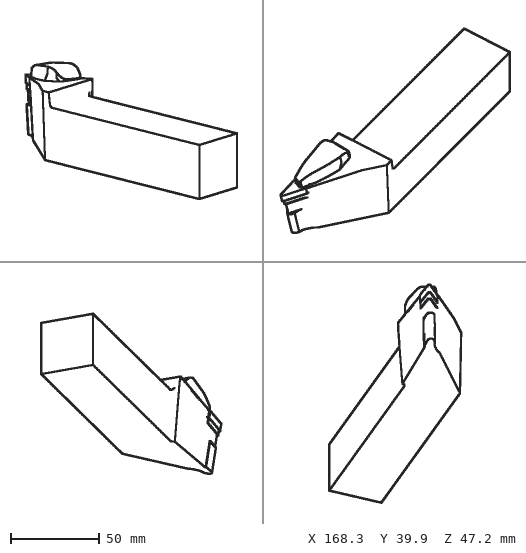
import cadquery as cq
import math

TOTAL_LENGTH = 168.3
SHANK_SIZE = 32.0
HEAD_HEIGHT = 40.5
HEAD_WIDTH = 50.5
STEP_FOOT_X = 54.2
STEP_RUN = 1.2
STEP_FILLET = 2.0
HEAD_START_X = -8.5

TIP_CORNER = (-1.7, 40.0, 32.2)
RISE_HEADING = -28.9
SEAT_TILT = 9.8
FRONT_ANGLE = -9.5
POINT_ANGLE = 35.0
BACK_ANGLE = FRONT_ANGLE + POINT_ANGLE

INSERT_SIDE = 16.7
INSERT_THICKNESS = 4.7
INSERT_RADIUS = 0.8
SHIM_BOTTOM = 8.0
SHIM_INSET = 0.2
SHIM_RADIUS = 1.0

FACE_OFFSET = -0.2
RELIEF_OFFSET = 0.59
RELIEF_END = 14.0
FACE_START = 18.7
NOSE_RADIUS = 0.8
HEAD_BACK_END = 55.5
HEAD_BACK_OFFSET = 0.2
PRISM_DEPTH = 75.8
FAR = 252.5

PAD_TOP = 16.8
PAD_OFFSET = -0.7
PAD_FLAT_END = 7.0
PAD_RUNOUT = 11.6
PAD_RADIUS = 1.9

CLAMP_BACK_Y = 37.5
CLAMP_FRONT_Y = 18.5
CLAMP_BASE_Z = 30.3
CLAMP_TOP_Z = 50.5
CLAMP_OUTLINE_Z = 38.0
CLAMP_SIDE_LEAN = (-0.06, 0.2, 1.0)
FRONT_ARCH = [(1.0, 38.5), (8.0, 41.5), (17.5, 44.6), (30.6, 47.1), (39.2, 45.6), (43.5, 41.7)]
BACK_ARCH = [(11.0, 38.5), (15.7, 41.5), (24.4, 44.6), (34.2, 46.3), (42.5, 43.5), (48.0, 38.4)]


def direction(angle):
    return math.cos(math.radians(angle)), math.sin(math.radians(angle))


def seat_plane():
    """Top face of the insert: x is the steepest rise, z the normal."""
    head_x, head_y = direction(RISE_HEADING)
    level, rise = direction(SEAT_TILT)
    return cq.Plane(
        origin=TIP_CORNER,
        xDir=(level * head_x, level * head_y, rise),
        normal=(-rise * head_x, -rise * head_y, level),
    )


SEAT = seat_plane()


def at_front(along, inward):
    """Seat coordinates of a point placed along the front edge and offset inward."""
    x, y = direction(FRONT_ANGLE)
    return along * x - inward * y, along * y + inward * x


def at_back(along, inward):
    """Seat coordinates of a point placed along the back edge and offset inward."""
    x, y = direction(BACK_ANGLE)
    return along * x + inward * y, along * y - inward * x


def inset_corner(front_inset, back_inset):
    """Where the front edge and the back edge meet once each is offset inward."""
    cos_point, sin_point = direction(POINT_ANGLE)
    return at_front((back_inset + front_inset * cos_point) / sin_point, front_inset)


def seat_sketch(depth):
    return cq.Workplane(SEAT).workplane(offset=-depth)


def round_point(body, corner, depth, radius):
    """Round the upright edge at the given seat position."""
    selector = cq.selectors.NearestToPointSelector(SEAT.toWorldCoords((*corner, -depth)).toTuple())
    return body.edges(cq.selectors.ParallelDirSelector(SEAT.zDir)).edges(selector).fillet(radius)


def rhombus(inset, radius, top, bottom):
    """Rhombic plate with a rounded cutting point between two depths."""
    far_inset = INSERT_SIDE * math.sin(math.radians(POINT_ANGLE)) - inset
    corners = [
        inset_corner(inset, inset),
        inset_corner(inset, far_inset),
        inset_corner(far_inset, far_inset),
        inset_corner(far_inset, inset),
    ]
    plate = seat_sketch(top).polyline(corners).close().extrude(top - bottom)
    return round_point(plate, corners[0], (top + bottom) / 2, radius)


def make_insert():
    return rhombus(0, INSERT_RADIUS, 0, INSERT_THICKNESS)


def stepped_profile(plane, head_size):
    """Head and shank outline with a sloped step, in the given plane."""
    lean = STEP_RUN / (HEAD_HEIGHT - SHANK_SIZE)
    head_end_x = STEP_FOOT_X - lean * (head_size - SHANK_SIZE)
    outline = [
        (HEAD_START_X, 0),
        (TOTAL_LENGTH, 0),
        (TOTAL_LENGTH, SHANK_SIZE),
        (STEP_FOOT_X, SHANK_SIZE),
        (head_end_x, head_size),
        (HEAD_START_X, head_size),
    ]
    return cq.Workplane(plane).polyline(outline).close()


def make_envelope():
    """Shank and head block before the head is angled."""
    nearest = cq.selectors.NearestToPointSelector
    side = stepped_profile("XZ", HEAD_HEIGHT).extrude(-HEAD_WIDTH)
    side = side.edges(nearest((STEP_FOOT_X, HEAD_WIDTH / 2, SHANK_SIZE))).fillet(STEP_FILLET)
    plan = stepped_profile("XY", HEAD_WIDTH).extrude(HEAD_HEIGHT)
    plan = plan.edges(nearest((STEP_FOOT_X, SHANK_SIZE, HEAD_HEIGHT / 2))).fillet(STEP_FILLET)
    return side.intersect(plan)


def make_head_prism():
    """Angled head, square to the seat, with the nose relieved by an S-shaped step."""
    tip = inset_corner(RELIEF_OFFSET, RELIEF_OFFSET)
    middle = at_front((RELIEF_END + FACE_START) / 2, (RELIEF_OFFSET + FACE_OFFSET) / 2)
    face_start = at_front(FACE_START, FACE_OFFSET)
    face_end = at_front(FAR, FACE_OFFSET)
    back_end = at_back(HEAD_BACK_END, HEAD_BACK_OFFSET)
    prism = (
        seat_sketch(0)
        .moveTo(*tip)
        .lineTo(*at_front(RELIEF_END, RELIEF_OFFSET))
        .tangentArcPoint(middle, relative=False)
        .tangentArcPoint(face_start, relative=False)
        .lineTo(*face_end)
        .lineTo(FAR, FAR)
        .lineTo(back_end[0], FAR)
        .lineTo(*back_end)
        .close()
        .extrude(-PRISM_DEPTH)
    )
    return round_point(prism, tip, PRISM_DEPTH / 2, NOSE_RADIUS)


def make_pad():
    """Raised pad low on the nose, running out into the relief by a concave arc."""
    tip = inset_corner(PAD_OFFSET, 0)
    drop = RELIEF_OFFSET - PAD_OFFSET
    run = PAD_RUNOUT - PAD_FLAT_END
    runout_radius = (run**2 + drop**2) / (2 * drop)
    pad = (
        seat_sketch(PAD_TOP)
        .moveTo(*tip)
        .lineTo(*at_front(PAD_FLAT_END, PAD_OFFSET))
        .radiusArc(at_front(PAD_RUNOUT, RELIEF_OFFSET), runout_radius)
        .lineTo(*at_back(PAD_RUNOUT, 0))
        .close()
        .extrude(PAD_TOP - PRISM_DEPTH)
    )
    return round_point(pad, tip, (PAD_TOP + PRISM_DEPTH) / 2, PAD_RADIUS)


def arch_section(y, points):
    """Closed wire of the clamp's arched section at one Y."""
    toe, ramp_end, crown_start, crown_end, tail_start, tail = points
    section = (
        cq.Workplane("XZ", origin=(0, y, 0))
        .moveTo(toe[0], CLAMP_BASE_Z)
        .lineTo(*toe)
        .lineTo(*ramp_end)
        .tangentArcPoint(crown_start, relative=False)
        .lineTo(*crown_end)
        .tangentArcPoint(tail_start, relative=False)
        .lineTo(*tail)
        .lineTo(tail[0], CLAMP_BASE_Z)
        .close()
    )
    return section.val()


def make_clamp_arch():
    """Full-width arch whose ruled top tapers from back to front."""
    sections = [arch_section(CLAMP_FRONT_Y, FRONT_ARCH), arch_section(CLAMP_BACK_Y, BACK_ARCH)]
    return cq.Workplane(obj=cq.Solid.makeLoft(sections, True))


def make_clamp_sides():
    """Leaning column that gives the clamp its outline from above."""
    outline = (
        cq.Workplane("XY")
        .moveTo(11.5, CLAMP_BACK_Y)
        .lineTo(9.8, 33.8)
        .lineTo(10.3, 32.7)
        .lineTo(18.0, 27.1)
        .threePointArc((25.3, 23.2), (33.5, 19.7))
        .lineTo(40.4, 19.9)
        .threePointArc((43.1, 21.5), (44.5, 24.2))
        .lineTo(45.8, 33.5)
        .lineTo(45.0, 35.5)
        .lineTo(35.0, CLAMP_BACK_Y)
        .lineTo(35.0, HEAD_WIDTH)
        .lineTo(11.5, HEAD_WIDTH)
        .close()
        .val()
    )
    lean = cq.Vector(*CLAMP_SIDE_LEAN)
    start = cq.Vector(0, 0, CLAMP_OUTLINE_Z) - lean * (CLAMP_OUTLINE_Z - CLAMP_BASE_Z)
    column = cq.Solid.extrudeLinear(
        outline.moved(cq.Location(start)), [], lean * (CLAMP_TOP_Z - CLAMP_BASE_Z)
    )
    return cq.Workplane(obj=column)


def make_clamp_front_limit():
    """Upright curved wall that trims the flared foot of the clamp's front side."""
    return (
        cq.Workplane("XY", origin=(0, 0, CLAMP_BASE_Z))
        .moveTo(0, HEAD_WIDTH)
        .lineTo(0, CLAMP_FRONT_Y)
        .lineTo(23.5, CLAMP_FRONT_Y)
        .lineTo(32.0, 20.7)
        .lineTo(39.5, 20.7)
        .tangentArcPoint((45.5, 23.4), relative=False)
        .lineTo(HEAD_WIDTH, HEAD_WIDTH)
        .close()
        .extrude(CLAMP_TOP_Z - CLAMP_BASE_Z)
    )


def make_clamp():
    below_seat = cq.Workplane(SEAT).rect(FAR, FAR).extrude(-PRISM_DEPTH)
    clamp = make_clamp_arch().intersect(make_clamp_sides()).intersect(make_clamp_front_limit())
    return clamp.cut(below_seat)


def make_holder(insert):
    holder = make_head_prism().cut(insert)
    holder = holder.union(rhombus(SHIM_INSET, SHIM_RADIUS, INSERT_THICKNESS, SHIM_BOTTOM))
    holder = holder.union(make_pad()).intersect(make_envelope())
    return holder.union(make_clamp())


insert = make_insert()
holder = make_holder(insert)
result = cq.Compound.makeCompound([insert.val(), *holder.vals()])